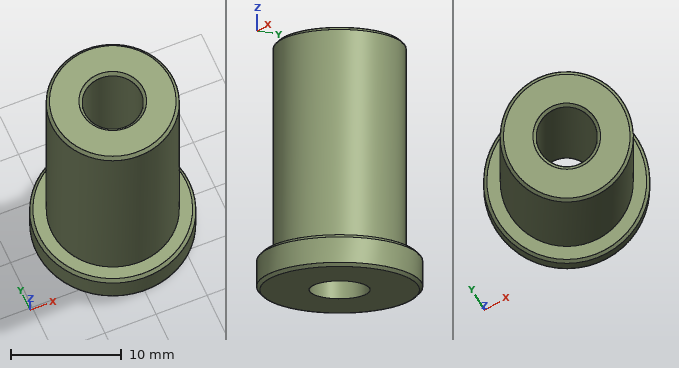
import cadquery as cq

total_height = 23.0
flange_diameter = 15.0
flange_height = 3.0
body_diameter = 12.0
bore_diameter = 5.5
edge_chamfer = 0.3

flange = (
    cq.Workplane("XY")
    .circle(flange_diameter / 2)
    .extrude(flange_height)
    .edges()
    .chamfer(edge_chamfer)
)

body = (
    cq.Workplane("XY")
    .circle(body_diameter / 2)
    .extrude(total_height)
    .faces(">Z")
    .edges()
    .chamfer(edge_chamfer)
)

bore = cq.Workplane("XY").circle(bore_diameter / 2).extrude(total_height)
bore_mouth = cq.Workplane("XY").add(
    cq.Solid.makeCone(
        bore_diameter / 2,
        bore_diameter / 2 + edge_chamfer,
        edge_chamfer,
        pnt=cq.Vector(0, 0, total_height - edge_chamfer),
    )
)

result = flange.union(body).cut(bore).cut(bore_mouth)